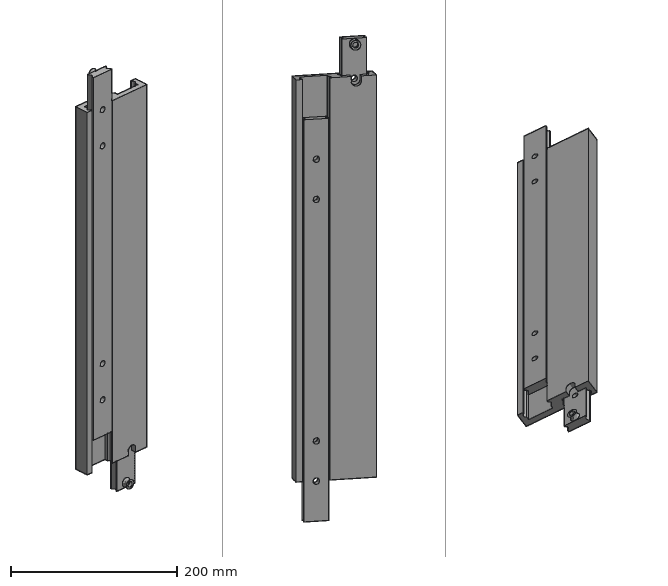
import cadquery as cq

HOUSING_X = 20.0
HOUSING_Y = 100.0
HOUSING_Z = 500.0

TOTAL_X = 22.0
TOTAL_Z = 594.5
RAIL_LENGTH = HOUSING_Z
RAIL_WIDTH = 31.0
RAIL_THICKNESS = 10.5
RAIL_Y = 25.0
LOWER_EXTENSION = 50.0
UPPER_EXTENSION = TOTAL_Z - HOUSING_Z - LOWER_EXTENSION
OUTER_X = TOTAL_X / 2

CHANNEL_WIDTH = 34.0
BACK_GAP = 3.0
CHANNEL_FLOOR_X = OUTER_X - RAIL_THICKNESS - BACK_GAP
TRACK_DIAMETER = 6.5
TRACK_SPACING = (RAIL_WIDTH + CHANNEL_WIDTH) / 2
TRACK_DEPTH = 6.0
TRACK_X = OUTER_X - TRACK_DEPTH

HOLE_DIAMETER = 8.0
HOLE_PITCH = 50.0

STUD_DIAMETER = 12.5
STUD_LENGTH = 7.0
STUD_END_GAP = 0.5
STUD_WAIST_DEPTH = 1.0
SOCKET_DIAMETER = 7.0
SOCKET_DEPTH = 5.0

NOTCH_WIDTH = 12.5
NOTCH_CENTRE_DEPTH = 6.0


def box_between(x_min, x_max, width, height):
    """Box between two X planes, centred in Y and Z."""
    length = x_max - x_min
    return cq.Workplane("XY").box(length, width, height).translate(((x_min + x_max) / 2, 0, 0))


def disc(x_start, length, diameter, z):
    """Cylinder along +X from x_start, at height z."""
    return cq.Workplane("YZ", origin=(x_start, 0, z)).circle(diameter / 2).extrude(length)


def ball_tracks():
    """The two full round tracks, half in the rail and half in the housing."""
    return (
        cq.Workplane("XY", origin=(0, 0, -HOUSING_Z / 2))
        .pushPoints([(-TRACK_X, -TRACK_SPACING / 2), (-TRACK_X, TRACK_SPACING / 2)])
        .circle(TRACK_DIAMETER / 2)
        .extrude(HOUSING_Z)
    )


def stop_stud():
    """Round stud, gently waisted, with a round socket in its free end."""
    radius = STUD_DIAMETER / 2
    x_start = -OUTER_X + RAIL_THICKNESS
    z = -RAIL_LENGTH / 2 + STUD_END_GAP + radius
    profile = (
        cq.Workplane("XY")
        .lineTo(0, radius)
        .threePointArc((STUD_LENGTH / 2, radius - STUD_WAIST_DEPTH), (STUD_LENGTH, radius))
        .lineTo(STUD_LENGTH, 0)
        .close()
    )
    stud = profile.revolve(360, (0, 0, 0), (1, 0, 0))
    stud = stud.translate((x_start, 0, z))
    return stud.cut(disc(x_start + STUD_LENGTH - SOCKET_DEPTH, SOCKET_DEPTH, SOCKET_DIAMETER, z))


def make_rail():
    """Rail with its outer face towards -X and its stud at the bottom."""
    rail = box_between(-OUTER_X, -OUTER_X + RAIL_THICKNESS, RAIL_WIDTH, RAIL_LENGTH)
    rail = rail.cut(ball_tracks())
    for end in (-1, 1):
        for pitches in (1, 2):
            z = end * (RAIL_LENGTH / 2 - pitches * HOLE_PITCH)
            rail = rail.cut(disc(-OUTER_X, RAIL_THICKNESS, HOLE_DIAMETER, z))
    return rail.union(stop_stud())


def turn_over(shape):
    """Half turn about Y, which swaps the -X side with +X and bottom with top."""
    return shape.rotate((0, 0, 0), (0, 1, 0), 180)


def channel_cutter():
    """Channel and tracks for a rail in the -X face, with the stud notch at the bottom."""
    channel = box_between(-OUTER_X, -CHANNEL_FLOOR_X, CHANNEL_WIDTH, HOUSING_Z)
    notch_z = -HOUSING_Z / 2 + NOTCH_CENTRE_DEPTH
    notch_length = CHANNEL_FLOOR_X + HOUSING_X / 2
    notch = disc(-CHANNEL_FLOOR_X, notch_length, NOTCH_WIDTH, notch_z)
    notch_mouth = box_between(-CHANNEL_FLOOR_X, HOUSING_X / 2, NOTCH_WIDTH, NOTCH_CENTRE_DEPTH)
    notch_mouth = notch_mouth.translate((0, 0, notch_z - NOTCH_CENTRE_DEPTH / 2))
    return channel.union(ball_tracks()).union(notch).union(notch_mouth)


def make_housing():
    """Block with one rail channel in each large face."""
    housing = cq.Workplane("XY").box(HOUSING_X, HOUSING_Y, HOUSING_Z)
    cutter = channel_cutter()
    housing = housing.cut(cutter.translate((0, RAIL_Y, 0)))
    return housing.cut(turn_over(cutter).translate((0, -RAIL_Y, 0)))


housing = make_housing()

rails = []
for flipped, y, z in ((False, RAIL_Y, -LOWER_EXTENSION), (True, -RAIL_Y, UPPER_EXTENSION)):
    rail = make_rail()
    if flipped:
        rail = turn_over(rail)
    rails.append(rail.translate((0, y, z)).val())

assembly_shift = (LOWER_EXTENSION - UPPER_EXTENSION) / 2
result = cq.Compound.makeCompound([housing.val(), *rails]).translate(cq.Vector(0, 0, assembly_shift))